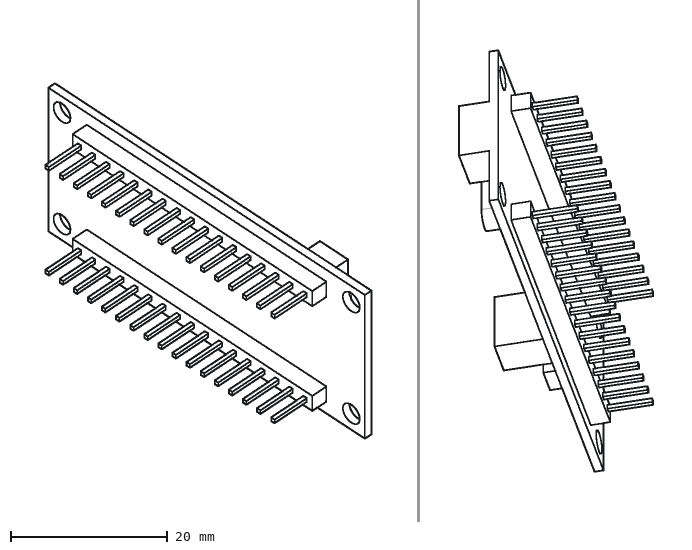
import cadquery as cq

board_length = 57.0
board_width = 24.4
board_thickness = 1.2

hole_diameter = 3.0
hole_end_inset = 2.45
hole_edge_inset = 2.75

pin_count = 17
pin_size = 0.6
pin_length = 5.85
row_spacing = 17.8
header_length = 43.15
header_section = 2.55
header_left = (board_length - header_length) / 2
pin_pitch = header_length / pin_count

component_width = 8.1
low_height = 4.0
tall_height = 8.8
connector_length = 5.9
tall_block_left = 39.0
tall_block_length = 5.1
small_block_left = 45.65
small_block_length = 3.7
crystal_center = 13.95
crystal_thickness = 3.55
crystal_width = 10.25


def box(left, length, front, depth, center_z, height):
    """Box from its left X, its lowest Y and its middle Z."""
    return (
        cq.Workplane("XY")
        .box(length, depth, height, centered=(False, False, True))
        .translate((left, front, center_z))
    )


def board():
    """Flat plate between Y = 0 and the component face, with four corner holes."""
    hole_z = board_width / 2 - hole_edge_inset
    hole_points = [
        (x, z)
        for x in (hole_end_inset, board_length - hole_end_inset)
        for z in (-hole_z, hole_z)
    ]
    holes = (
        cq.Workplane("XZ")
        .pushPoints(hole_points)
        .circle(hole_diameter / 2)
        .extrude(-board_thickness)
    )
    return box(0, board_length, 0, board_thickness, 0, board_width).cut(holes)


def pin_header(row_z):
    """Header strip with a row of square pins pointing toward -Y."""
    strip = box(header_left, header_length, -header_section, header_section, row_z, header_section)
    pin_points = [
        (header_left + (index + 0.5) * pin_pitch, row_z) for index in range(pin_count)
    ]
    pins = (
        cq.Workplane("XZ", origin=(0, -header_section, 0))
        .pushPoints(pin_points)
        .rect(pin_size, pin_size)
        .extrude(pin_length)
    )
    return strip.union(pins)


def component_block(left, length, height):
    """Rectangular component standing on the +Y face."""
    return box(left, length, board_thickness, height, 0, component_width)


def crystal():
    """Round-ended can with its long direction along Z."""
    return (
        cq.Workplane("XZ", origin=(0, board_thickness, 0))
        .center(crystal_center, 0)
        .slot2D(crystal_width, crystal_thickness, 90)
        .extrude(-low_height)
    )


result = board()
for row_z in (-row_spacing / 2, row_spacing / 2):
    result = result.union(pin_header(row_z))
result = result.union(component_block(0, connector_length, low_height))
result = result.union(component_block(tall_block_left, tall_block_length, tall_height))
result = result.union(component_block(small_block_left, small_block_length, low_height))
result = result.union(crystal())